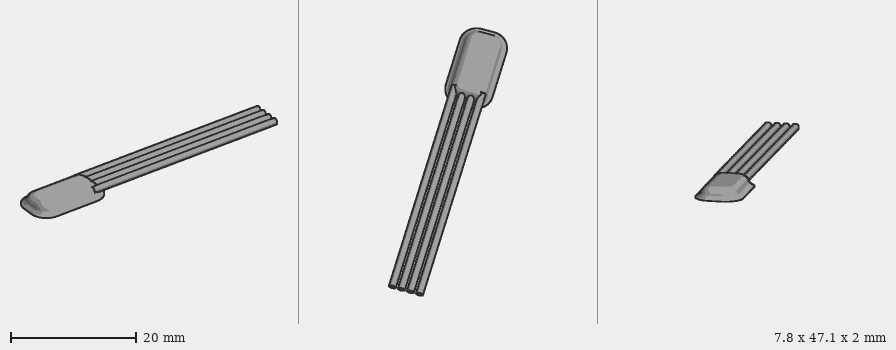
import cadquery as cq
import math

HOUSING_WIDTH = 7.8
HOUSING_LENGTH = 13.65
HOUSING_HEIGHT = 2.0
BASE_CORNER_RADIUS = 2.85
KNEE_CORNER_RADIUS = 2.03
KNEE_HEIGHT = 0.7
TOP_CORNER_RADIUS = 0.35
FLARE_ARC_RADIUS = 1.75

WIRE_COUNT = 4
WIRE_DIAMETER = 1.2
WIRE_PITCH = 1.5
WIRE_AXIS_HEIGHT = 1.1
OVERALL_LENGTH = 47.1

CORNER_X = HOUSING_WIDTH / 2 - BASE_CORNER_RADIUS
CORNER_Y = HOUSING_LENGTH / 2 - BASE_CORNER_RADIUS
DOME_RISE = HOUSING_HEIGHT - KNEE_HEIGHT
DOME_RUN = KNEE_CORNER_RADIUS - TOP_CORNER_RADIUS
DOME_ARC_RADIUS = (DOME_RUN**2 + DOME_RISE**2) / (2 * DOME_RISE)
WIRE_START_Y = CORNER_Y + TOP_CORNER_RADIUS
WIRE_END_Y = OVERALL_LENGTH - HOUSING_LENGTH / 2


def arc_middle(start, end, radius):
    """Middle point of an arc from start to end that bulges to the right of that direction."""
    run = end[0] - start[0]
    rise = end[1] - start[1]
    chord = math.hypot(run, rise)
    bulge = radius - math.sqrt(radius**2 - (chord / 2) ** 2)
    middle_x = (start[0] + end[0]) / 2 + bulge * rise / chord
    middle_z = (start[1] + end[1]) / 2 - bulge * run / chord
    return middle_x, middle_z


def edge_profile(plane):
    """Half section from a corner axis outward: concave flare below, convex dome above."""
    base = (BASE_CORNER_RADIUS, 0)
    knee = (KNEE_CORNER_RADIUS, KNEE_HEIGHT)
    top = (TOP_CORNER_RADIUS, HOUSING_HEIGHT)
    return (
        cq.Workplane(plane)
        .lineTo(*base)
        .threePointArc(arc_middle(knee, base, FLARE_ARC_RADIUS), knee)
        .threePointArc(arc_middle(knee, top, DOME_ARC_RADIUS), top)
        .lineTo(0, HOUSING_HEIGHT)
        .close()
    )


def make_corner():
    """Quarter turn of the edge profile in the +X, +Y quadrant."""
    return edge_profile("XZ").revolve(90, (0, 0), (0, 1)).translate((CORNER_X, CORNER_Y, 0))


def make_side():
    """Straight edge along the +X side."""
    return edge_profile("XZ").extrude(CORNER_Y, both=True).translate((CORNER_X, 0, 0))


def make_end():
    """Straight edge along the +Y end."""
    return edge_profile("YZ").extrude(CORNER_X, both=True).translate((0, CORNER_Y, 0))


def make_wire(x):
    return (
        cq.Workplane("XZ", origin=(x, WIRE_START_Y, WIRE_AXIS_HEIGHT))
        .circle(WIRE_DIAMETER / 2)
        .extrude(WIRE_START_Y - WIRE_END_Y)
    )


def make_housing(wires):
    body = cq.Workplane("XY").box(
        2 * CORNER_X, 2 * CORNER_Y, HOUSING_HEIGHT, centered=(True, True, False)
    )
    for edge in (make_side(), make_end()):
        body = body.union(edge).union(edge.rotate((0, 0, 0), (0, 0, 1), 180))
    corner = make_corner()
    left_corner = corner.mirror("YZ")
    for quarter in (corner, left_corner, corner.mirror("XZ"), left_corner.mirror("XZ")):
        body = body.union(quarter)
    body = body.clean()
    for wire in wires:
        body = body.cut(wire)
    return body


wires = []
for index in range(WIRE_COUNT):
    wires.append(make_wire((index - (WIRE_COUNT - 1) / 2) * WIRE_PITCH))

housing = make_housing(wires)

result = cq.Compound.makeCompound([housing.solids().val(), *[wire.val() for wire in wires]])